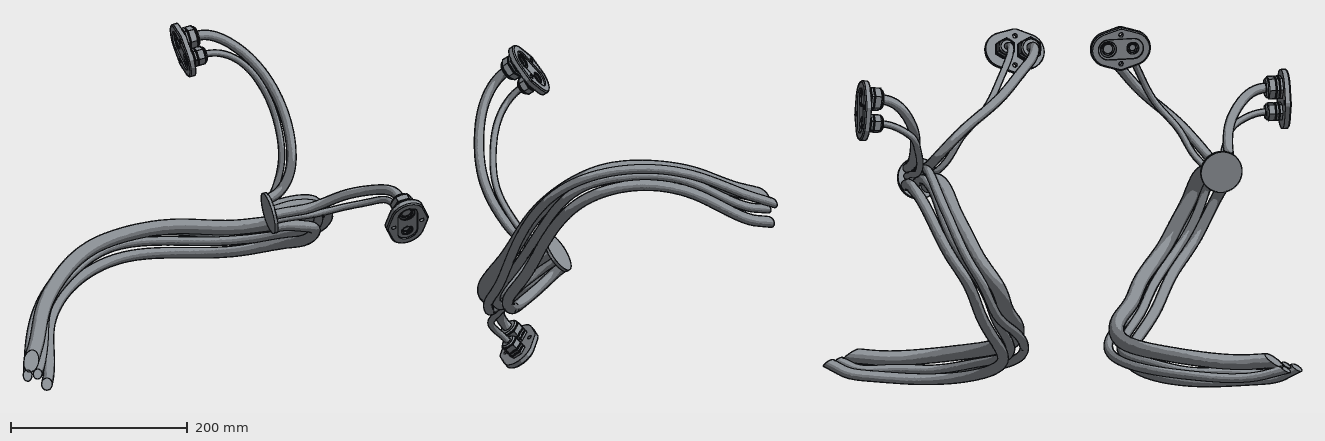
import cadquery as cq
import math


BASE_RADIUS = 23.5
BASE_THICKNESS = 3.5
BASE_BACK = cq.Vector(0, 1, 0)

POWER_RADIUS = 8.43
DRAIN_RADIUS = 6.15
SIGNAL_RADIUS = 5.0
CUT_NORMAL = cq.Vector(0.47, -0.27, 0.84)
TAIL_LENGTH = 11.5
CUT_BLOCK = 54.5
JOINT_TOLERANCE = 0.05

POWER_ROUTE = [
    (-11.5, 4.5, -7.7),
    (-12.0, 41.0, -11.0),
    (-16.0, 59.0, -24.5),
    (-25.0, 65.0, -50.5),
    (-38.0, 64.5, -74.2),
    (-54.5, 59.0, -101.5),
    (-80.5, 42.5, -127.5),
    (-105.0, -7.0, -144.0),
    (-130.5, -59.0, -149.5),
    (-143.5, -123.5, -153.0),
    (-136.5, -164.5, -151.5),
    (-99.7, -219.5, -149.5),
    (-67.5, -247.0, -149.5),
    (-24.0, -270.0, -148.0),
    (2.0, -285.5, -143.5),
]
DRAIN_ROUTE = [
    (14.0, 4.5, -9.0),
    (13.5, 31.5, -19.0),
    (9.0, 50.0, -35.5),
    (-1.0, 56.0, -58.0),
    (-24.0, 50.0, -97.5),
    (-46.5, 37.0, -122.0),
    (-77.0, -11.0, -151.5),
    (-106.5, -58.0, -169.5),
    (-132.5, -130.2, -179.0),
    (-116.0, -192.0, -180.0),
    (-67.0, -238.5, -177.0),
    (-12.8, -258.5, -172.0),
    (14.0, -269.5, -165.8),
    (30.0, -277.0, -155.8),
]
INNER_ROUTE = [
    (3.0, 4.5, -6.5),
    (3.0, 38.3, -9.5),
    (-2.5, 58.0, -26.0),
    (-14.5, 63.5, -63.5),
    (-40.5, 55.5, -104.5),
    (-67.0, 37.0, -131.5),
    (-94.3, -13.5, -152.0),
    (-128.0, -82.5, -162.5),
    (-141.5, -137.0, -167.0),
    (-120.0, -192.0, -165.5),
    (-79.5, -237.3, -165.5),
    (-39.0, -255.5, -163.0),
    (3.0, -276.0, -158.5),
    (17.0, -283.3, -150.5),
]
OUTER_ROUTE = [
    (2.0, 4.5, 5.5),
    (1.0, 24.5, 5.0),
    (1.0, 52.0, -3.5),
    (-6.5, 74.2, -38.3),
    (-17.0, 76.5, -63.5),
    (-40.5, 68.0, -105.5),
    (-62.0, 53.0, -130.2),
    (-86.5, 19.0, -155.5),
    (-121.5, -31.5, -163.0),
    (-154.0, -131.5, -170.0),
    (-134.0, -192.0, -169.5),
    (-76.5, -252.5, -166.5),
    (-10.5, -284.5, -160.5),
    (13.5, -294.0, -152.0),
]

LONG_CABLES = [
    (POWER_ROUTE, POWER_RADIUS),
    (DRAIN_ROUTE, DRAIN_RADIUS),
    (INNER_ROUTE, SIGNAL_RADIUS),
    (OUTER_ROUTE, SIGNAL_RADIUS),
]

BIG_CABLE_RADIUS = 5.5
SMALL_CABLE_RADIUS = 3.5

BIG_LEFT = [
    (-10.5, 4.5, 13.0),
    (-18.5, 28.2, 23.0),
    (-43.3, 43.3, 50.5),
    (-82.5, 43.3, 86.5),
    (-114.5, 26.0, 124.5),
    (-136.0, -1.5, 152.0),
]
SMALL_LEFT = [
    (-17.0, 4.5, 5.0),
    (-25.5, 19.0, 13.5),
    (-42.0, 31.5, 42.5),
    (-67.0, 34.5, 73.0),
    (-90.5, 24.0, 116.0),
    (-108.0, 1.5, 150.7),
]
BIG_RIGHT = [
    (12.8, 4.5, 11.0),
    (16.5, 41.0, 10.5),
    (25.0, 82.5, 27.5),
    (34.0, 103.0, 37.0),
    (47.0, 119.5, 47.5),
    (60.5, 128.5, 55.5),
]
SMALL_RIGHT = [
    (13.5, 4.5, 1.5),
    (14.0, 48.0, -5.5),
    (20.5, 86.5, 0.0),
    (30.0, 111.5, 9.0),
    (38.5, 125.5, 17.5),
    (52.5, 130.5, 24.5),
]

PLATE_LENGTH = 68.5
PLATE_WIDTH = 50.0
PLATE_THICKNESS = 7.0
PLATE_CHAMFER = 1.5
GLAND_OFFSET = 14.0
SCREW_OFFSET = 17.0
SCREW_HOLE_RADIUS = 2.5
RECESS_RADIUS = 12.0
RECESS_DEPTH = 2.0
PLATE_END_RADIUS = PLATE_LENGTH / 2 - GLAND_OFFSET
PLATE_EAR_RADIUS = PLATE_WIDTH / 2 - SCREW_OFFSET

LEFT_PLANE = cq.Plane(origin=(-128.5, -59.5, 167.5), xDir=(1, 0, 0), normal=(0, -1, 0))
RIGHT_PLANE = cq.Plane(origin=(102.5, 131.0, 45.0), xDir=(0, 0, -1), normal=(1, 0, 0))

SHORT_CABLES = [
    (BIG_LEFT, BIG_CABLE_RADIUS, LEFT_PLANE, -GLAND_OFFSET),
    (SMALL_LEFT, SMALL_CABLE_RADIUS, LEFT_PLANE, GLAND_OFFSET),
    (BIG_RIGHT, BIG_CABLE_RADIUS, RIGHT_PLANE, -GLAND_OFFSET),
    (SMALL_RIGHT, SMALL_CABLE_RADIUS, RIGHT_PLANE, GLAND_OFFSET),
]

FLANGE_LENGTH = 2.7
NECK_LENGTH = 1.5
BODY_LENGTH = 2.7
NUT_LENGTH = 7.5
CAP_LENGTH = 3.0
GLAND_LENGTH = FLANGE_LENGTH + BODY_LENGTH + NUT_LENGTH + CAP_LENGTH + 2 * NECK_LENGTH
NECK_RELIEF = 1.5
CAP_TAPER = 2.0
STEM_SETBACK = 1.5
STEM_MOUTH_DEPTH = 2.0
STEM_MOUTH_STEP = 1.6

BIG_HEX_WIDTH = 23.0
BIG_STEM_RADIUS = 9.0
SMALL_HEX_WIDTH = 18.0
SMALL_STEM_RADIUS = 7.0

GLAND_SIZES = [
    (-GLAND_OFFSET, BIG_HEX_WIDTH, BIG_STEM_RADIUS, BIG_CABLE_RADIUS),
    (GLAND_OFFSET, SMALL_HEX_WIDTH, SMALL_STEM_RADIUS, SMALL_CABLE_RADIUS),
]

GLAND_MOUTH_Z = -PLATE_THICKNESS - GLAND_LENGTH
STEM_END_Z = -RECESS_DEPTH - STEM_SETBACK
CABLE_END_Z = STEM_END_Z - STEM_MOUTH_DEPTH


def long_curve(route):
    """Centreline of a long cable, up to the straight tail before its last point."""
    points = [cq.Vector(*point) for point in route]
    heading = (points[-1] - points[-2]).normalized()
    points[-1] = points[-1] - heading * TAIL_LENGTH
    return cq.Edge.makeSpline(points, tangents=[BASE_BACK, heading], scale=False)


def short_curve(route, plane, gland_x):
    """Centreline of a short cable, ending on the gland axis at the gland mouth."""
    points = [cq.Vector(*point) for point in route]
    points.append(plane.toWorldCoords((gland_x, 0, GLAND_MOUTH_Z)))
    return cq.Edge.makeSpline(points, tangents=[BASE_BACK, plane.zDir], scale=False)


def cable_root(curve, radius):
    """Straight stub from the back of the base to the start of a cable."""
    start = curve.startPoint()
    back = cq.Plane(origin=(start.x, BASE_THICKNESS, start.z), normal=BASE_BACK)
    return cq.Workplane(back).circle(radius).extrude(start.y - BASE_THICKNESS)


def tube_along(curve, radius):
    """Round tube along a curve that leaves the base squarely."""
    section = cq.Plane(origin=curve.startPoint(), normal=BASE_BACK)
    path = cq.Workplane(obj=cq.Wire.assembleEdges([curve]))
    return cq.Workplane(section).circle(radius).sweep(path)


def straight_end(curve, radius, length):
    """Straight stretch that carries a cable on from the end of its curve."""
    section = cq.Plane(origin=curve.endPoint(), normal=curve.tangentAt(1))
    return cq.Workplane(section).circle(radius).extrude(length)


def slanted_tail(curve, radius):
    """Straight end of a long cable, cut off on a slant."""
    tail = straight_end(curve, radius, 2 * TAIL_LENGTH)
    cut_centre = curve.endPoint() + curve.tangentAt(1) * TAIL_LENGTH
    cut_plane = cq.Plane(origin=cut_centre, normal=CUT_NORMAL)
    return tail.cut(cq.Workplane(cut_plane).rect(CUT_BLOCK, CUT_BLOCK).extrude(CUT_BLOCK))


def join_pieces(pieces, joint_points):
    """One solid from pieces that share whole end faces centred on the joint points."""
    outer_faces = []
    for piece in pieces:
        for face in piece.faces().vals():
            gaps = [(face.Center() - point).Length for point in joint_points]
            if face.geomType() != "PLANE" or min(gaps) > JOINT_TOLERANCE:
                outer_faces.append(face)
    return cq.Solid.makeSolid(cq.Shell.makeShell(outer_faces))


def make_harness():
    """Round base with all eight cables grown out of its back."""
    base = cq.Workplane("XZ").circle(BASE_RADIUS).extrude(-BASE_THICKNESS)
    cables = []
    for route, radius in LONG_CABLES:
        curve = long_curve(route)
        cables.append((curve, radius, slanted_tail(curve, radius)))
    for route, radius, plane, gland_x in SHORT_CABLES:
        curve = short_curve(route, plane, gland_x)
        cables.append((curve, radius, straight_end(curve, radius, CABLE_END_Z - GLAND_MOUTH_Z)))

    pieces = []
    joint_points = []
    for curve, radius, end_piece in cables:
        base = base.union(cable_root(curve, radius))
        pieces.extend([tube_along(curve, radius), end_piece])
        joint_points.extend([curve.startPoint(), curve.endPoint()])
    return join_pieces([base, *pieces], joint_points)


def plate_outline(plane):
    """Oval around the two gland circles and the two smaller screw ears."""
    span = math.hypot(GLAND_OFFSET, SCREW_OFFSET)
    side_angle = math.atan2(SCREW_OFFSET, -GLAND_OFFSET)
    normal_angle = side_angle - math.acos((PLATE_END_RADIUS - PLATE_EAR_RADIUS) / span)
    across = math.cos(normal_angle)
    along = math.sin(normal_angle)
    end_x = GLAND_OFFSET + PLATE_END_RADIUS * across
    end_y = PLATE_END_RADIUS * along
    ear_x = PLATE_EAR_RADIUS * across
    ear_y = SCREW_OFFSET + PLATE_EAR_RADIUS * along
    return (
        cq.Workplane(plane)
        .moveTo(end_x, end_y)
        .lineTo(ear_x, ear_y)
        .threePointArc((0, PLATE_WIDTH / 2), (-ear_x, ear_y))
        .lineTo(-end_x, end_y)
        .threePointArc((-PLATE_LENGTH / 2, 0), (-end_x, -end_y))
        .lineTo(-ear_x, -ear_y)
        .threePointArc((0, -PLATE_WIDTH / 2), (ear_x, -ear_y))
        .lineTo(end_x, -end_y)
        .threePointArc((PLATE_LENGTH / 2, 0), (end_x, end_y))
        .close()
    )


def make_plate(plane):
    """Oval plate with a slot-shaped recess, two gland holes and two screw holes."""
    plate = plate_outline(plane).extrude(-PLATE_THICKNESS)
    plate = plate.faces(cq.selectors.DirectionMinMaxSelector(plane.zDir)).edges().chamfer(PLATE_CHAMFER)
    recess_length = 2 * (GLAND_OFFSET + RECESS_RADIUS)
    recess = cq.Workplane(plane).slot2D(recess_length, 2 * RECESS_RADIUS).extrude(-RECESS_DEPTH)
    screw_places = [(0, SCREW_OFFSET), (0, -SCREW_OFFSET)]
    screw_holes = cq.Workplane(plane).pushPoints(screw_places).circle(SCREW_HOLE_RADIUS)
    plate = plate.cut(recess).cut(screw_holes.extrude(-PLATE_THICKNESS))
    for gland_x, _, stem_radius, _ in GLAND_SIZES:
        plate = plate.cut(cq.Workplane(plane).center(gland_x, 0).circle(stem_radius).extrude(-PLATE_THICKNESS))
    return plate


def make_gland(plane, gland_x, hex_width, stem_radius, cable_radius):
    """Hexagonal gland behind the plate, with a stem through it and a bore for its cable."""
    neck_radius = hex_width / 2 - NECK_RELIEF

    def at_height(z):
        return cq.Workplane(plane).workplane(offset=z).center(gland_x, 0)

    def hexagon(z, length):
        return at_height(z).polygon(6, hex_width, circumscribed=True).extrude(length)

    body_z = -PLATE_THICKNESS - FLANGE_LENGTH - NECK_LENGTH - BODY_LENGTH
    nut_z = GLAND_MOUTH_Z + CAP_LENGTH
    cap = at_height(GLAND_MOUTH_Z).circle(hex_width / 2).extrude(CAP_LENGTH)
    cap = cap.faces(cq.selectors.DirectionMinMaxSelector(-plane.zDir)).edges().chamfer(CAP_TAPER)
    gland = at_height(nut_z).circle(neck_radius).extrude(-PLATE_THICKNESS - nut_z)
    gland = gland.union(cap)
    gland = gland.union(hexagon(nut_z, NUT_LENGTH))
    gland = gland.union(hexagon(body_z, BODY_LENGTH))
    gland = gland.union(hexagon(-PLATE_THICKNESS - FLANGE_LENGTH, FLANGE_LENGTH))
    gland = gland.union(at_height(-PLATE_THICKNESS).circle(stem_radius).extrude(PLATE_THICKNESS + STEM_END_Z))
    bore = at_height(GLAND_MOUTH_Z).circle(cable_radius).extrude(STEM_END_Z - GLAND_MOUTH_Z)
    mouth = at_height(STEM_END_Z).circle(cable_radius + STEM_MOUTH_STEP).extrude(-STEM_MOUTH_DEPTH)
    return gland.cut(bore).cut(mouth)


harness = make_harness()
plates = []
glands = []
for connector_plane in (LEFT_PLANE, RIGHT_PLANE):
    plates.append(make_plate(connector_plane).val())
    for gland_size in GLAND_SIZES:
        glands.append(make_gland(connector_plane, *gland_size).val())

result = cq.Compound.makeCompound([harness, *plates, *glands])